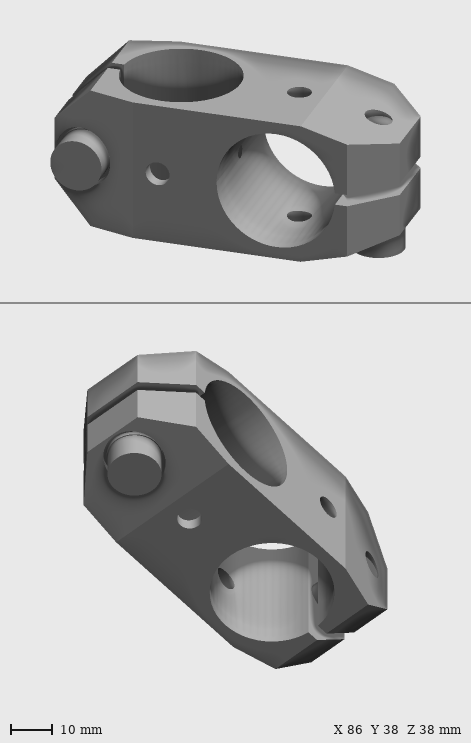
import cadquery as cq
import math

LENGTH = 86.0
WIDTH = 36.0
HALF_LENGTH = LENGTH / 2
HALF_WIDTH = WIDTH / 2

CHAMFER = 10.0
TAPER_LENGTH = 21.8
TAPER_ANGLE = 15.0
TAPER_DROP = TAPER_LENGTH * math.tan(math.radians(TAPER_ANGLE))

BORE_DIAMETER = 30.0
BORE_INSET = 28.0
PIN_HOLE_DIAMETER = 6.0
SLOT_WIDTH = 3.0

SCREW_INSET = 8.0
SHANK_DIAMETER = 8.0
HEAD_DIAMETER = 13.0
HEAD_PROJECTION = 2.0
SEAT_DIAMETER = 15.0
SEAT_DEPTH = 6.0
HEAD_LENGTH = 7.0
WASHER_DIAMETER = 13.5
TIP_HOLE_DIAMETER = 6.7
SHANK_END = 3.0
TIP_RECESS = 1.2

BORE_X = -HALF_LENGTH + BORE_INSET
SCREW_X = -HALF_LENGTH + SCREW_INSET


def turn_over(shape):
    """Half turn about the Y = Z diagonal: (x, y, z) becomes (-x, z, y)."""
    return shape.rotate((0, 0, 0), (0, 1, 1), 180)


def rod_along_y(x, diameter, y_start, y_end):
    return (
        cq.Workplane("XZ", origin=(x, y_start, 0))
        .circle(diameter / 2)
        .extrude(y_start - y_end)
    )


def outline_prism():
    """XY outline, tapered at -X and chamfered at +X, through the full height."""
    taper_end = HALF_WIDTH - TAPER_DROP
    chamfer_end = HALF_WIDTH - CHAMFER
    upper = [
        (-HALF_LENGTH, taper_end),
        (-HALF_LENGTH + TAPER_LENGTH, HALF_WIDTH),
        (HALF_LENGTH - CHAMFER, HALF_WIDTH),
        (HALF_LENGTH, chamfer_end),
    ]
    lower = [(x, -y) for x, y in reversed(upper)]
    return cq.Workplane("XY").polyline(upper + lower).close().extrude(HALF_WIDTH, both=True)


def clamp_cutter():
    """Bore, slot, pin hole, screw seat and tip hole of the -X end."""
    bore = cq.Workplane("XY").center(BORE_X, 0).circle(BORE_DIAMETER / 2).extrude(HALF_WIDTH, both=True)
    slot = cq.Workplane("XY").box(BORE_INSET, SLOT_WIDTH, WIDTH).translate(
        (-HALF_LENGTH + BORE_INSET / 2, 0, 0)
    )
    pin_hole = rod_along_y(BORE_X, PIN_HOLE_DIAMETER, -HALF_WIDTH, HALF_WIDTH)
    seat = rod_along_y(SCREW_X, SEAT_DIAMETER, -HALF_WIDTH, -HALF_WIDTH + SEAT_DEPTH)
    tip_hole = rod_along_y(SCREW_X, TIP_HOLE_DIAMETER, 0, HALF_WIDTH)
    return bore.union(slot).union(pin_hole).union(seat).union(tip_hole)


def clamp_screw():
    """Cap screw and washer across the slot of the -X end, head towards -Y."""
    head_top = -HALF_WIDTH - HEAD_PROJECTION
    head_base = head_top + HEAD_LENGTH
    head = rod_along_y(SCREW_X, HEAD_DIAMETER, head_top, head_base)
    washer = rod_along_y(SCREW_X, WASHER_DIAMETER, head_base, -HALF_WIDTH + SEAT_DEPTH)
    shank = rod_along_y(SCREW_X, SHANK_DIAMETER, head_base, SHANK_END)
    tip_surface = HALF_WIDTH - TAPER_DROP + SCREW_INSET * math.tan(math.radians(TAPER_ANGLE))
    tip = rod_along_y(SCREW_X, TIP_HOLE_DIAMETER, SHANK_END, tip_surface - TIP_RECESS)
    return head.union(washer).union(shank).union(tip)


prism = outline_prism()
cutter = clamp_cutter()
screw = clamp_screw()

body = prism.intersect(turn_over(prism))
body = body.cut(cutter).cut(turn_over(cutter))
result = body.union(screw).union(turn_over(screw))